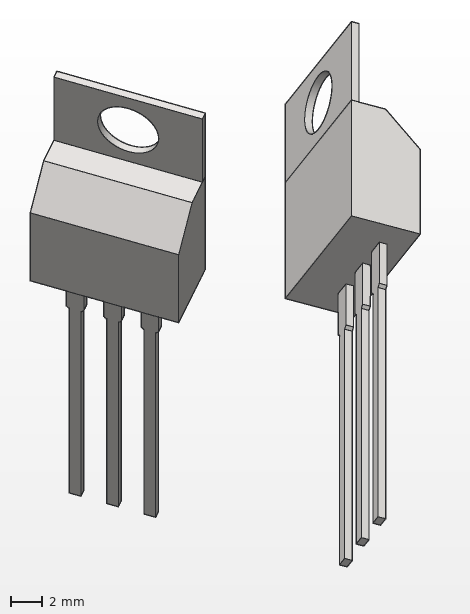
import cadquery as cq


package_width = 10.1
package_depth = 4.85
total_height = 36.35

housing_bottom = 21.23
housing_top = 30.25
housing_top_depth = 2.4
slope_drop = 2.45

tab_thickness = 0.55
tab_hole_diameter = 4.15
tab_hole_height = 33.25

lead_count = 3
lead_pitch = 2.55
lead_thickness = 0.55
lead_back = -2.85
lead_width = 0.8
shoulder_width = 1.2
shoulder_length = 3.2
taper_height = (shoulder_width - lead_width) / 2


def make_housing():
    """Block with its upper front edge sloped away, extruded across the width."""
    profile = [
        (0, housing_bottom),
        (0, housing_top),
        (-housing_top_depth, housing_top),
        (-package_depth, housing_top - slope_drop),
        (-package_depth, housing_bottom),
    ]
    return (
        cq.Workplane("YZ")
        .polyline(profile)
        .close()
        .extrude(package_width / 2, both=True)
    )


def make_tab():
    """Flat plate with a round mounting hole."""
    plate = cq.Workplane("XY").box(
        package_width, tab_thickness, total_height - housing_top, centered=(True, False, False)
    ).translate((0, -tab_thickness, housing_top))
    hole = (
        cq.Workplane("XZ")
        .center(0, tab_hole_height)
        .circle(tab_hole_diameter / 2)
        .extrude(tab_thickness)
    )
    return plate.cut(hole)


def make_lead(center_x):
    """Flat lead with a wide shoulder that tapers down to a narrow leg."""
    shoulder_bottom = housing_bottom - shoulder_length
    right_edge = [
        (lead_width / 2, 0),
        (lead_width / 2, shoulder_bottom - taper_height),
        (shoulder_width / 2, shoulder_bottom),
        (shoulder_width / 2, housing_bottom),
    ]
    left_edge = [(-x, z) for x, z in reversed(right_edge)]
    return (
        cq.Workplane("XZ")
        .polyline(right_edge + left_edge)
        .close()
        .extrude(lead_thickness)
        .translate((center_x, lead_back, 0))
    )


housing = make_housing()
tab = make_tab()
leads = []
for index in range(lead_count):
    lead_x = (index - (lead_count - 1) / 2) * lead_pitch
    leads.append(make_lead(lead_x))

result = cq.Compound.makeCompound(
    [housing.val(), tab.val(), *[lead.val() for lead in leads]]
)